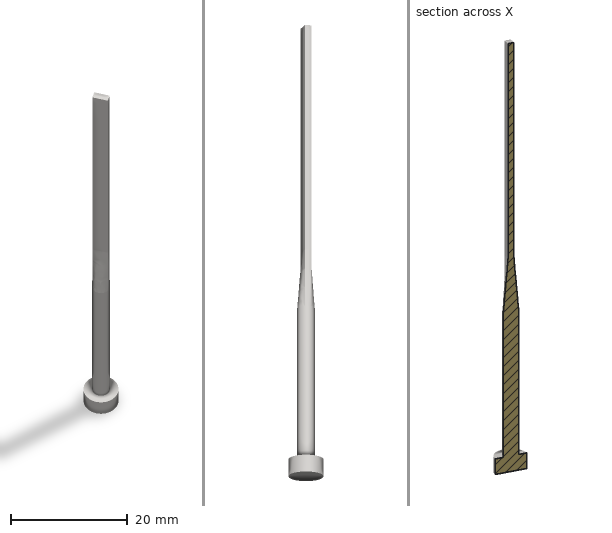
import cadquery as cq
import math

total_length = 80.0
head_diameter = 6.0
head_height = head_diameter / 2
shaft_diameter = head_diameter / 2
shaft_radius = shaft_diameter / 2
blade_thickness = 1.2
blade_length = total_length / 2
transition_length = total_length / 8

blade_width = math.sqrt(shaft_diameter**2 - blade_thickness**2)
blade_bottom = total_length - blade_length
shaft_top = blade_bottom - transition_length


def make_head():
    return cq.Workplane("XY").circle(head_diameter / 2).extrude(head_height)


def make_shaft():
    return cq.Workplane("XY").circle(shaft_radius).extrude(shaft_top)


def make_transition():
    """Blend the round shaft into the blade, each arc ending at a blade corner."""
    half_width = blade_width / 2
    half_thickness = blade_thickness / 2
    round_section = (
        cq.Workplane("XY")
        .workplane(offset=shaft_top)
        .moveTo(-half_width, -half_thickness)
        .threePointArc((0, -shaft_radius), (half_width, -half_thickness))
        .threePointArc((shaft_radius, 0), (half_width, half_thickness))
        .threePointArc((0, shaft_radius), (-half_width, half_thickness))
        .threePointArc((-shaft_radius, 0), (-half_width, -half_thickness))
        .close()
    )
    blade_section = (
        cq.Workplane("XY")
        .workplane(offset=blade_bottom)
        .moveTo(-half_width, -half_thickness)
        .lineTo(half_width, -half_thickness)
        .lineTo(half_width, half_thickness)
        .lineTo(-half_width, half_thickness)
        .close()
    )
    sections = [round_section.val(), blade_section.val()]
    return cq.Workplane(cq.Solid.makeLoft(sections, ruled=True))


def make_blade():
    return (
        cq.Workplane("XY")
        .workplane(offset=blade_bottom)
        .rect(blade_width, blade_thickness)
        .extrude(blade_length)
    )


result = make_head().union(make_shaft()).union(make_transition()).union(make_blade())